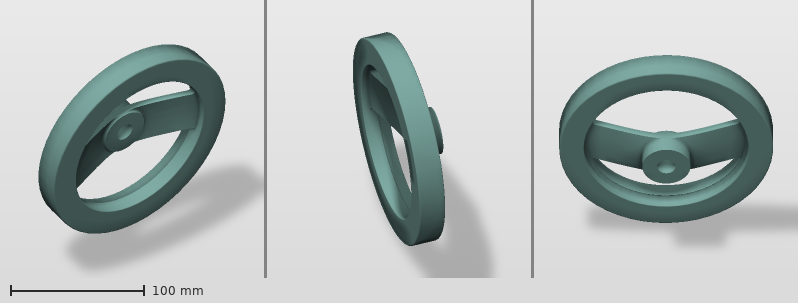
import cadquery as cq
import math

wheel_diameter = 160.0
wheel_length = 39.0

rim_width = 20.2
rim_bore_diameter = 118.4
front_recess_diameter = 123.2
front_recess_depth = 9.3
rim_edge_round = 1.1
bore_edge_round = 0.6

hub_diameter = 36.0
shaft_hole_diameter = 14.0
hub_back_x = 20.0
hub_fillet = 1.6

web_start_x = 12.0
web_slope = math.tan(math.radians(21.2))
web_thickness = 5.3
spoke_width = hub_diameter
window_corner_radius = 2.4

wheel_radius = wheel_diameter / 2
rim_bore_radius = rim_bore_diameter / 2
front_recess_radius = front_recess_diameter / 2
recess_fillet = front_recess_radius - rim_bore_radius
hub_radius = hub_diameter / 2
rim_front_x = wheel_length - rim_width
web_outer_radius = (rim_bore_radius + front_recess_radius) / 2


def revolve_about_x(profile):
    return profile.close().revolve(360, (0, 0, 0), (1, 0, 0))


def circle_edges_at(x, radius):
    tolerance = 0.08
    return cq.selectors.BoxSelector(
        (x - tolerance, -radius - tolerance, -radius - tolerance),
        (x + tolerance, radius + tolerance, radius + tolerance),
        boundingbox=True,
    )


def make_rim():
    recess_floor_x = rim_front_x + front_recess_depth
    rim = revolve_about_x(
        cq.Workplane("XY")
        .moveTo(rim_front_x, front_recess_radius)
        .lineTo(rim_front_x, wheel_radius)
        .lineTo(wheel_length, wheel_radius)
        .lineTo(wheel_length, rim_bore_radius)
        .lineTo(recess_floor_x, rim_bore_radius)
        .radiusArc((recess_floor_x - recess_fillet, front_recess_radius), -recess_fillet)
    )
    for edge_x, edge_radius in ((rim_front_x, front_recess_radius), (wheel_length, rim_bore_radius)):
        rim = rim.edges(circle_edges_at(edge_x, edge_radius)).fillet(bore_edge_round)
    outer_edges = cq.selectors.RadiusNthSelector(-1)
    return rim.edges("%CIRCLE").edges(outer_edges).fillet(rim_edge_round)


def make_hub_and_web():
    def web_front_x(radius):
        return web_start_x + (radius - hub_radius) * web_slope

    web_back_x = web_start_x + web_thickness
    body = revolve_about_x(
        cq.Workplane("XY")
        .moveTo(0, 0)
        .lineTo(0, hub_radius)
        .lineTo(web_start_x, hub_radius)
        .lineTo(web_front_x(web_outer_radius), web_outer_radius)
        .lineTo(web_front_x(web_outer_radius) + web_thickness, web_outer_radius)
        .lineTo(web_back_x, hub_radius)
        .lineTo(hub_back_x, hub_radius)
        .lineTo(hub_back_x, 0)
    )
    for junction_x in (web_start_x, web_back_x):
        body = body.edges(circle_edges_at(junction_x, hub_radius)).fillet(hub_fillet)
    return body


def make_windows():
    bore_disc = cq.Workplane("YZ").circle(rim_bore_radius).extrude(wheel_length)
    spoke_bar = cq.Workplane("YZ").rect(wheel_diameter, spoke_width).extrude(wheel_length)
    return bore_disc.cut(spoke_bar).edges("|X").fillet(window_corner_radius)


shaft_hole = cq.Workplane("YZ").circle(shaft_hole_diameter / 2).extrude(wheel_length)

result = make_rim().union(make_hub_and_web()).cut(make_windows()).cut(shaft_hole)